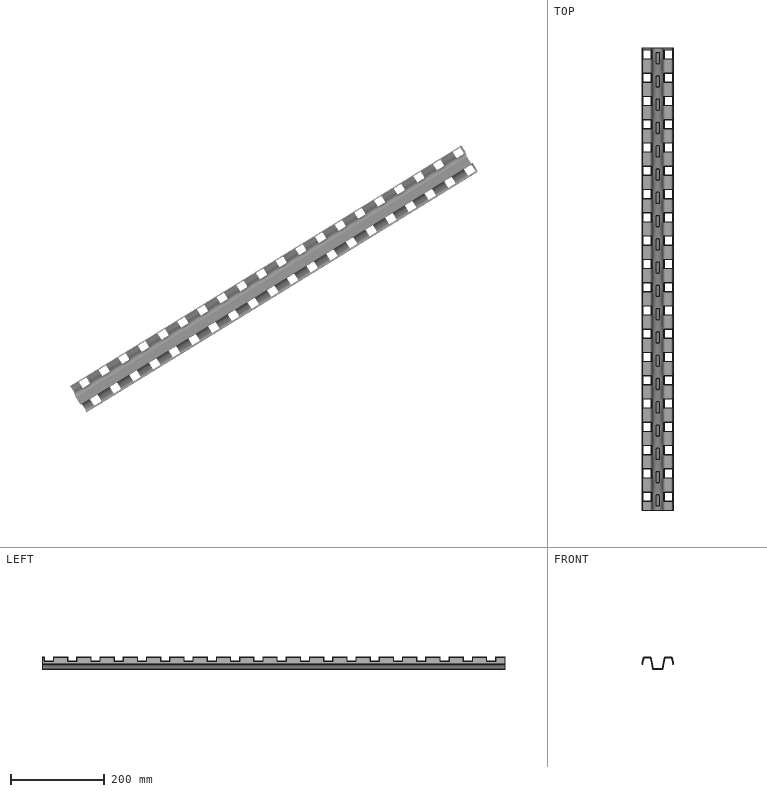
import cadquery as cq
import math

LENGTH = 994.0
WIDTH = 68.09
HEIGHT = 26.45

THICKNESS = 1.5
BEND_INNER_RADIUS = 1.5
HOOK_INNER_RADIUS = 0.5
FLOOR_INNER_RADIUS = 0.1

WEB_LEAN = 11.5
LIP_LEAN = 14.4
HOOK_ANGLE = 42.0
FLANGE_INNER_X = 15.15
FLANGE_OUTER_X = 30.1
HOOK_LENGTH = 1.75

PITCH = 50.0
FEATURE_COUNT = 20

WINDOW_LENGTH = 19.0
END_STRIP = 4.5
WINDOW_BOTTOM_Z = 4.85

SLOT_LENGTH = 25.0
SLOT_WIDTH = 8.2
SLOT_DEPTH = THICKNESS / 2


def unit_direction(start, end):
    length = math.dist(start, end)
    return ((end[0] - start[0]) / length, (end[1] - start[1]) / length)


def bend_arc(before, corner, after, inner_radius, offset):
    """Start, middle and end of a bend's arc on the surface `offset` left of the mid-line."""
    dir_in = unit_direction(before, corner)
    dir_out = unit_direction(corner, after)
    turn = dir_in[0] * dir_out[1] - dir_in[1] * dir_out[0]
    side = math.copysign(1.0, turn)
    mid_radius = inner_radius + THICKNESS / 2
    radius = mid_radius - side * offset
    normal_in = (-side * dir_in[1], side * dir_in[0])
    normal_out = (-side * dir_out[1], side * dir_out[0])
    bisector = unit_direction((0, 0), (normal_in[0] + normal_out[0], normal_in[1] + normal_out[1]))
    half_turn_cos = bisector[0] * normal_in[0] + bisector[1] * normal_in[1]
    centre_distance = mid_radius / half_turn_cos
    centre = (corner[0] + bisector[0] * centre_distance, corner[1] + bisector[1] * centre_distance)
    return [
        (centre[0] - n[0] * radius, centre[1] - n[1] * radius)
        for n in (normal_in, bisector, normal_out)
    ]


def sheet_end(tip, direction, offset):
    """Point on the sheet's end edge, `offset` left of the mid-line."""
    return (tip[0] - direction[1] * offset, tip[1] + direction[0] * offset)


def bent_strip(mid_line, inner_radii):
    """Closed outline of a sheet that follows `mid_line`, with one bend radius for each corner."""
    half = THICKNESS / 2
    corners = list(zip(mid_line, mid_line[1:], mid_line[2:], inner_radii))
    first_direction = unit_direction(mid_line[0], mid_line[1])
    last_direction = unit_direction(mid_line[-2], mid_line[-1])

    outline = cq.Workplane("XZ").moveTo(*sheet_end(mid_line[0], first_direction, half))
    for before, corner, after, inner_radius in corners:
        start, middle, end = bend_arc(before, corner, after, inner_radius, half)
        outline = outline.lineTo(*start).threePointArc(middle, end)
    outline = outline.lineTo(*sheet_end(mid_line[-1], last_direction, half))
    outline = outline.lineTo(*sheet_end(mid_line[-1], last_direction, -half))
    for before, corner, after, inner_radius in reversed(corners):
        start, middle, end = bend_arc(before, corner, after, inner_radius, -half)
        outline = outline.lineTo(*end).threePointArc(middle, start)
    outline = outline.lineTo(*sheet_end(mid_line[0], first_direction, -half))
    return outline.close()


def hat_mid_line():
    """Mid-line of the hat profile from the -X lip to the +X lip."""
    top_z = HEIGHT / 2 - THICKNESS / 2
    floor_z = -top_z
    floor_x = FLANGE_INNER_X - (top_z - floor_z) * math.tan(math.radians(WEB_LEAN))

    outer_radius = HOOK_INNER_RADIUS + THICKNESS
    mid_radius = HOOK_INNER_RADIUS + THICKNESS / 2
    lip_lean = math.radians(LIP_LEAN)
    hook_angle = math.radians(HOOK_ANGLE)
    lip_turn = math.pi / 2 + lip_lean - hook_angle
    corner_distance = mid_radius / math.cos(lip_turn / 2)
    bisector_angle = lip_turn / 2 - lip_lean
    lip_x = WIDTH / 2 - outer_radius + corner_distance * math.cos(bisector_angle)
    lip_z = top_z - (lip_x - FLANGE_OUTER_X) / math.tan(lip_lean)
    hook_x = lip_x - HOOK_LENGTH * math.cos(hook_angle)
    hook_z = lip_z - HOOK_LENGTH * math.sin(hook_angle)

    right_half = [
        (floor_x, floor_z),
        (FLANGE_INNER_X, top_z),
        (FLANGE_OUTER_X, top_z),
        (lip_x, lip_z),
        (hook_x, hook_z),
    ]
    left_half = [(-x, z) for x, z in reversed(right_half)]
    return left_half + right_half


def hat_channel():
    half_radii = [FLOOR_INNER_RADIUS, BEND_INNER_RADIUS, BEND_INNER_RADIUS, HOOK_INNER_RADIUS]
    inner_radii = half_radii[::-1] + half_radii
    return bent_strip(hat_mid_line(), inner_radii).extrude(LENGTH / 2, both=True)


def row_positions(first_y):
    return [(0, first_y - i * PITCH) for i in range(FEATURE_COUNT)]


def flange_windows():
    first_y = LENGTH / 2 - END_STRIP - WINDOW_LENGTH / 2
    return (
        cq.Workplane("XY", origin=(0, 0, WINDOW_BOTTOM_Z))
        .pushPoints(row_positions(first_y))
        .rect(WIDTH, WINDOW_LENGTH)
        .extrude(HEIGHT)
    )


def floor_slots():
    first_y = (FEATURE_COUNT - 1) * PITCH / 2
    return (
        cq.Workplane("XY", origin=(0, 0, -HEIGHT / 2 + THICKNESS - SLOT_DEPTH))
        .pushPoints(row_positions(first_y))
        .slot2D(SLOT_LENGTH, SLOT_WIDTH, 90)
        .extrude(SLOT_DEPTH)
    )


result = hat_channel().cut(flange_windows()).cut(floor_slots())